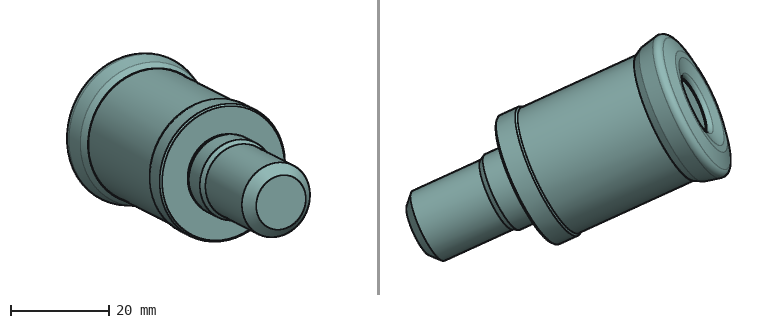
import cadquery as cq

overall_length = 65.0
bumper_length = 8.0
lip_edge_x = 1.05
lip_mid_x = 1.5
lip_end_x = 2.8
taper_break_x = 6.3
collar_start = 34.85
collar_end = 40.0
shoulder_start = 41.1
shoulder_end = 45.8
stud_start = 47.0

lip_mid_radius = 15.6
lip_end_radius = 15.9
lip_edge_radius = 14.7
taper_break_radius = 15.15
bumper_back_radius = 14.25
face_outer_radius = 11.3
face_inner_radius = 9.8
dish_inner_radius = 6.75
bore_round_radius = 6.1
bore_radius = 5.8

dish_depth = 0.9
bore_round_mid_depth = 1.3
bore_round_mid_radius = 6.3
bore_round_depth = 1.95
boss_face_depth = 2.15

barrel_radius = 28.2 / 2
collar_radius = 29.0 / 2
collar_chamfer = 0.4
neck_length = 0.6
neck_radius = 8.25
shoulder_radius = 17.0 / 2
stud_radius = 15.7 / 2
stud_chamfer = 2.15


def revolve_about_x(profile):
    """Revolve a closed (x, radius) profile once around the X axis."""
    return profile.close().revolve(360, (0, 0, 0), (1, 0, 0))


def make_bumper():
    """Ring with a dished front face, a rounded lip and a tapered back."""
    profile = (
        cq.Workplane("XY")
        .moveTo(0, face_inner_radius)
        .lineTo(0, face_outer_radius)
        .lineTo(lip_edge_x, lip_edge_radius)
        .threePointArc((lip_mid_x, lip_mid_radius), (lip_end_x, lip_end_radius))
        .lineTo(taper_break_x, taper_break_radius)
        .lineTo(bumper_length, bumper_back_radius)
        .lineTo(bumper_length, bore_radius)
        .lineTo(boss_face_depth, bore_radius)
        .lineTo(bore_round_depth, bore_round_radius)
        .threePointArc(
            (bore_round_mid_depth, bore_round_mid_radius),
            (dish_depth, dish_inner_radius),
        )
    )
    return revolve_about_x(profile)


def make_body():
    """Barrel with a front boss filling the bumper bore, a rear collar and a stud."""
    profile = (
        cq.Workplane("XY")
        .moveTo(boss_face_depth, 0)
        .lineTo(boss_face_depth, bore_radius)
        .lineTo(bumper_length, bore_radius)
        .lineTo(bumper_length, barrel_radius)
        .lineTo(collar_start, barrel_radius)
        .lineTo(collar_start + collar_chamfer, collar_radius)
        .lineTo(collar_end - collar_chamfer, collar_radius)
        .lineTo(collar_end, collar_radius - collar_chamfer)
        .lineTo(collar_end, neck_radius)
        .lineTo(collar_end + neck_length, neck_radius)
        .lineTo(shoulder_start, shoulder_radius)
        .lineTo(shoulder_end, shoulder_radius)
        .lineTo(stud_start, stud_radius)
        .lineTo(overall_length - stud_chamfer, stud_radius)
        .lineTo(overall_length, stud_radius - stud_chamfer)
        .lineTo(overall_length, 0)
    )
    return revolve_about_x(profile)


bumper = make_bumper()
body = make_body()

result = cq.Compound.makeCompound([bumper.val(), body.val()])